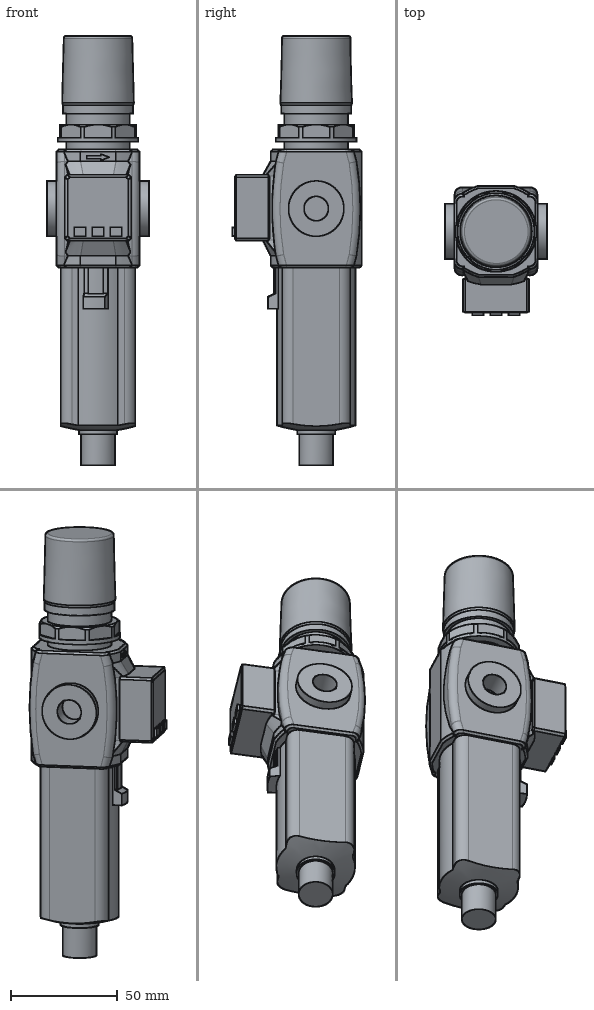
import cadquery as cq
import math


BLOCK_HALF_HEIGHT = 27.75
BLOCK_HALF_WIDTH = 19.5
CORE_EDGE = (15.9, -17.8)
CORE_FLAT = (8.3, -21.4)
CORE_BULGE = 0.3
CORE_ARC_RADIUS = 28.6
BAND_Z = 22.2
BARREL_HALF_DEPTH = 20.7
BARREL_NECK_HALF_DEPTH = 18.9
BARREL_END_HALF_DEPTH = 17.4
BARREL_FILLET = 3.6
RIM_CHAMFER = 1.1

GAUGE_SIZE = 31.0
GAUGE_BACK = -21.9
GAUGE_FRONT = -38.2
GAUGE_Z = 0.4
GAUGE_EDGE = 1.1
GAUGE_BEVEL_DEPTH = 0.6
GAUGE_BEVEL_RISE = 1.2
BUTTON_WIDTH = 5.5
BUTTON_HEIGHT = 4.1
BUTTON_PITCH = 8.5
BUTTON_Z = -10.9
BUTTON_FRONT = -39.4

PAD_EDGE = (13.0, -23.8)
PAD_FLAT = (7.0, -25.2)
PAD_BULGE = 0.15
PAD_ROOT_Y = -12.0
PAD_OVERLAP = 0.5

PORT_DIAMETER = 26.0
PORT_SPAN = 48.0
PORT_HOLE_DIAMETER = 11.45
PORT_HOLE_DEPTH = 12.0

ARROW_Z = 24.1
ARROW_HALF_LENGTH = 5.3
ARROW_HEAD_LENGTH = 4.0
ARROW_HALF_SHAFT = 0.7
ARROW_HALF_HEAD = 1.5
ARROW_DEPTH = 0.2

NECK_DIAMETER = 30.0
NUT_BOTTOM = 31.3
NUT_FLANGE_TOP = 33.3
NUT_TOP = 39.3
NUT_DIAMETER = 38.0
NUT_ACROSS_FLATS = 35.8
NUT_SIDES = 8
NUT_CHAMFER = 1.0
KNOB_BOTTOM = 44.6
KNOB_RING_TOP = 48.4
KNOB_SKIRT_Z = 49.6
KNOB_TOP = 81.1
KNOB_RING_DIAMETER = 33.0
KNOB_SKIRT_DIAMETER = 33.8
KNOB_TOP_DIAMETER = 32.2
KNOB_FILLET = 1.2

BOWL_HALF_WIDTH = 17.5
BOWL_HALF_DEPTH = 16.0
BOWL_CORNER_RADIUS = 5.1
BULGE_RADIUS = 18.5
BOWL_BOTTOM = -104.0
DOME_RADIUS = 60.0
COLLAR_DIAMETER = 18.0
COLLAR_BOTTOM = -106.0
DRAIN_DIAMETER = 16.0
DRAIN_BOTTOM = -120.5

LATCH_LEFT = -7.1
LATCH_RIGHT = 3.2
LATCH_LEFT_ANGLE = 7.0
LATCH_RIGHT_ANGLE = 18.8
LATCH_ROOT_RADIUS = 15.0
LATCH_FOOT_RADIUS = 22.7
LATCH_FOOT_TOP = -41.4
LATCH_SLOPE = 0.5
LATCH_BOTTOM = -47.0
STEM_RADIUS = 19.4
RIB_RADIUS = 19.8
RIB_LEFT = -4.6
RIB_RIGHT = 2.4


def disc(diameter, bottom, top):
    return cq.Workplane("XY").workplane(offset=bottom).circle(diameter / 2).extrude(top - bottom)


def slab(x_range, y_range, z_range):
    ranges = (x_range, y_range, z_range)
    size = [high - low for low, high in ranges]
    corner = cq.Vector(*[low for low, high in ranges])
    return cq.Workplane(cq.Solid.makeBox(*size, corner))


def pad_section(z, edge, flat, bulge):
    """A section whose front is flat in the middle and falls back along arcs to its side edges."""
    (edge_x, edge_y), (flat_x, flat_y) = edge, flat
    chord = math.hypot(edge_x - flat_x, edge_y - flat_y)
    mid_x = (edge_x + flat_x) / 2 + bulge * (edge_y - flat_y) / chord
    mid_y = (edge_y + flat_y) / 2 - bulge * (edge_x - flat_x) / chord
    root_x = CORE_EDGE[0]
    section = (
        cq.Workplane("XY", origin=(0, 0, z))
        .moveTo(-root_x, PAD_ROOT_Y)
        .lineTo(-edge_x, edge_y)
        .threePointArc((-mid_x, mid_y), (-flat_x, flat_y))
        .lineTo(flat_x, flat_y)
        .threePointArc((mid_x, mid_y), (edge_x, edge_y))
        .lineTo(root_x, PAD_ROOT_Y)
        .close()
    )
    return section.wires().val()


def make_core():
    """The full-height middle column: flat sides, with arcs falling away from a flat front and back."""
    edge_x, edge_y = CORE_EDGE
    height = 2 * BLOCK_HALF_HEIGHT
    core = cq.Workplane("XY").box(2 * edge_x, -2 * CORE_FLAT[1], height)
    for side in (-1, 1):
        arc_center = side * (math.sqrt(CORE_ARC_RADIUS**2 - edge_x**2) + edge_y)
        rounding = cq.Workplane("XY", origin=(0, arc_center, -BLOCK_HALF_HEIGHT))
        core = core.intersect(rounding.circle(CORE_ARC_RADIUS).extrude(height))
    return core.faces("|Z").chamfer(RIM_CHAMFER)


def make_barrel():
    """The barrel-shaped block that carries the two flat port sides."""
    end = BARREL_END_HALF_DEPTH
    neck = BARREL_NECK_HALF_DEPTH
    barrel = (
        cq.Workplane("YZ")
        .workplane(offset=-BLOCK_HALF_WIDTH)
        .moveTo(-end, -BLOCK_HALF_HEIGHT)
        .lineTo(end, -BLOCK_HALF_HEIGHT)
        .lineTo(neck, -BAND_Z)
        .threePointArc((BARREL_HALF_DEPTH, 0), (neck, BAND_Z))
        .lineTo(end, BLOCK_HALF_HEIGHT)
        .lineTo(-end, BLOCK_HALF_HEIGHT)
        .lineTo(-neck, BAND_Z)
        .threePointArc((-BARREL_HALF_DEPTH, 0), (-neck, -BAND_Z))
        .close()
        .extrude(2 * BLOCK_HALF_WIDTH)
    )
    barrel = barrel.faces("<X or >X").edges("not(|Y)").fillet(BARREL_FILLET)
    return barrel.faces("<Z or >Z").chamfer(RIM_CHAMFER)


def make_pad():
    """A pad that is widest at the bands and slopes out to the gauge from above and below."""
    inner_offset = GAUGE_SIZE / 2 - PAD_OVERLAP
    sections = [
        pad_section(-BAND_Z, CORE_EDGE, CORE_FLAT, CORE_BULGE),
        pad_section(GAUGE_Z - inner_offset, PAD_EDGE, PAD_FLAT, PAD_BULGE),
        pad_section(GAUGE_Z + inner_offset, PAD_EDGE, PAD_FLAT, PAD_BULGE),
        pad_section(BAND_Z, CORE_EDGE, CORE_FLAT, CORE_BULGE),
    ]
    return cq.Workplane(cq.Solid.makeLoft(sections, True))


def make_nut():
    round_blank = disc(NUT_DIAMETER, NUT_FLANGE_TOP, NUT_TOP).faces(">Z").chamfer(NUT_CHAMFER)
    octagon = (
        cq.Workplane("XY", origin=(0, 0, NUT_FLANGE_TOP))
        .polygon(NUT_SIDES, NUT_ACROSS_FLATS, circumscribed=True)
        .extrude(NUT_TOP - NUT_FLANGE_TOP)
    )
    return disc(NUT_DIAMETER, NUT_BOTTOM, NUT_FLANGE_TOP).union(round_blank.intersect(octagon))


def make_knob():
    knob = (
        cq.Workplane("XZ")
        .moveTo(0, KNOB_BOTTOM)
        .lineTo(KNOB_RING_DIAMETER / 2, KNOB_BOTTOM)
        .lineTo(KNOB_RING_DIAMETER / 2, KNOB_RING_TOP)
        .lineTo(KNOB_SKIRT_DIAMETER / 2, KNOB_SKIRT_Z)
        .lineTo(KNOB_TOP_DIAMETER / 2, KNOB_TOP)
        .lineTo(0, KNOB_TOP)
        .close()
        .revolve(360, (0, 0, 0), (0, 1, 0))
    )
    return knob.faces(">Z").edges().fillet(KNOB_FILLET)


def make_bowl():
    """A rounded box with a round bulge at front and back, trimmed below by a shallow dome."""
    height = -BLOCK_HALF_HEIGHT - BOWL_BOTTOM
    base = cq.Workplane("XY", origin=(0, 0, BOWL_BOTTOM))
    prism = base.rect(2 * BOWL_HALF_WIDTH, 2 * BOWL_HALF_DEPTH).extrude(height)
    prism = prism.edges("|Z").fillet(BOWL_CORNER_RADIUS)
    bulge = base.circle(BULGE_RADIUS).extrude(height)
    bulge_limit = base.rect(2 * BOWL_HALF_WIDTH, 2 * BULGE_RADIUS).extrude(height)
    prism = prism.union(bulge.intersect(bulge_limit))
    dome_center_z = BOWL_BOTTOM + math.sqrt(DOME_RADIUS**2 - (COLLAR_DIAMETER / 2) ** 2)
    dome = cq.Workplane("XY", origin=(0, 0, dome_center_z)).sphere(DOME_RADIUS)
    collar = disc(COLLAR_DIAMETER, COLLAR_BOTTOM, BOWL_BOTTOM)
    drain = disc(DRAIN_DIAMETER, DRAIN_BOTTOM, COLLAR_BOTTOM)
    return prism.intersect(dome).union(collar).union(drain)


def revolved_latch(stem_radius):
    """A ring about the main axis: a stem of the given radius above a thicker, slope-topped foot."""
    stem_top_z = LATCH_FOOT_TOP + (LATCH_FOOT_RADIUS - stem_radius) * LATCH_SLOPE
    return (
        cq.Workplane("XZ")
        .moveTo(LATCH_ROOT_RADIUS, LATCH_BOTTOM)
        .lineTo(LATCH_FOOT_RADIUS, LATCH_BOTTOM)
        .lineTo(LATCH_FOOT_RADIUS, LATCH_FOOT_TOP)
        .lineTo(stem_radius, stem_top_z)
        .lineTo(stem_radius, -BLOCK_HALF_HEIGHT)
        .lineTo(LATCH_ROOT_RADIUS, -BLOCK_HALF_HEIGHT)
        .close()
        .revolve(360, (0, 0, 0), (0, 1, 0))
    )


def make_latch():
    """The latch with its raised rib; both flanks lean towards +X nearer the bowl."""
    depth = LATCH_FOOT_RADIUS - LATCH_ROOT_RADIUS
    left_lean = depth * math.tan(math.radians(LATCH_LEFT_ANGLE))
    right_lean = depth * math.tan(math.radians(LATCH_RIGHT_ANGLE))
    plan = (
        cq.Workplane("XY", origin=(0, 0, LATCH_BOTTOM))
        .moveTo(LATCH_LEFT, -LATCH_FOOT_RADIUS)
        .lineTo(LATCH_RIGHT, -LATCH_FOOT_RADIUS)
        .lineTo(LATCH_RIGHT + right_lean, -LATCH_ROOT_RADIUS)
        .lineTo(LATCH_LEFT + left_lean, -LATCH_ROOT_RADIUS)
        .close()
        .extrude(-BLOCK_HALF_HEIGHT - LATCH_BOTTOM)
    )
    rib = slab(
        (RIB_LEFT, RIB_RIGHT),
        (-LATCH_FOOT_RADIUS, -LATCH_ROOT_RADIUS),
        (LATCH_BOTTOM, -BLOCK_HALF_HEIGHT),
    )
    stem_and_foot = revolved_latch(STEM_RADIUS).intersect(plan)
    return stem_and_foot.union(revolved_latch(RIB_RADIUS).intersect(rib))


def gauge_section(y, size):
    """A square with cut corners, across the depth of the gauge."""
    section = cq.Workplane("XZ", origin=(0, y, GAUGE_Z)).rect(size, size).extrude(1)
    section = section.edges("|Y").chamfer(GAUGE_EDGE)
    return section.faces(">Y").wires().val()


def make_gauge():
    """A box with bevelled edges and three buttons on its face."""
    face_size = GAUGE_SIZE - 2 * GAUGE_BEVEL_RISE
    sections = [
        gauge_section(GAUGE_BACK, face_size),
        gauge_section(GAUGE_BACK - GAUGE_BEVEL_DEPTH, GAUGE_SIZE),
        gauge_section(GAUGE_FRONT + GAUGE_BEVEL_DEPTH, GAUGE_SIZE),
        gauge_section(GAUGE_FRONT, face_size),
    ]
    gauge = cq.Workplane(cq.Solid.makeLoft(sections, True))
    for index in (-1, 0, 1):
        x = index * BUTTON_PITCH
        button = slab(
            (x - BUTTON_WIDTH / 2, x + BUTTON_WIDTH / 2),
            (BUTTON_FRONT, GAUGE_FRONT),
            (BUTTON_Z - BUTTON_HEIGHT / 2, BUTTON_Z + BUTTON_HEIGHT / 2),
        )
        gauge = gauge.union(button)
    return gauge


def make_arrow():
    neck = ARROW_HALF_LENGTH - ARROW_HEAD_LENGTH
    return (
        cq.Workplane("XZ", origin=(0, CORE_FLAT[1], ARROW_Z))
        .moveTo(-ARROW_HALF_LENGTH, -ARROW_HALF_SHAFT)
        .lineTo(neck, -ARROW_HALF_SHAFT)
        .lineTo(neck, -ARROW_HALF_HEAD)
        .lineTo(ARROW_HALF_LENGTH, 0)
        .lineTo(neck, ARROW_HALF_HEAD)
        .lineTo(neck, ARROW_HALF_SHAFT)
        .lineTo(-ARROW_HALF_LENGTH, ARROW_HALF_SHAFT)
        .close()
        .extrude(-ARROW_DEPTH)
    )


def make_regulator():
    ports = cq.Workplane("YZ").circle(PORT_DIAMETER / 2).extrude(PORT_SPAN / 2, both=True)
    body = make_core().union(make_barrel()).union(make_pad()).union(ports)
    body = body.union(disc(NECK_DIAMETER, BLOCK_HALF_HEIGHT, KNOB_BOTTOM))
    body = body.union(make_nut()).union(make_knob())
    body = body.union(make_bowl()).union(make_latch())
    for side in (-1, 1):
        mouth = cq.Workplane("YZ", origin=(side * PORT_SPAN / 2, 0, 0))
        body = body.cut(mouth.circle(PORT_HOLE_DIAMETER / 2).extrude(-side * PORT_HOLE_DEPTH))
    return body.cut(make_arrow())


gauge = make_gauge()
regulator = make_regulator().cut(gauge)

result = cq.Compound.makeCompound([regulator.val(), gauge.val()])